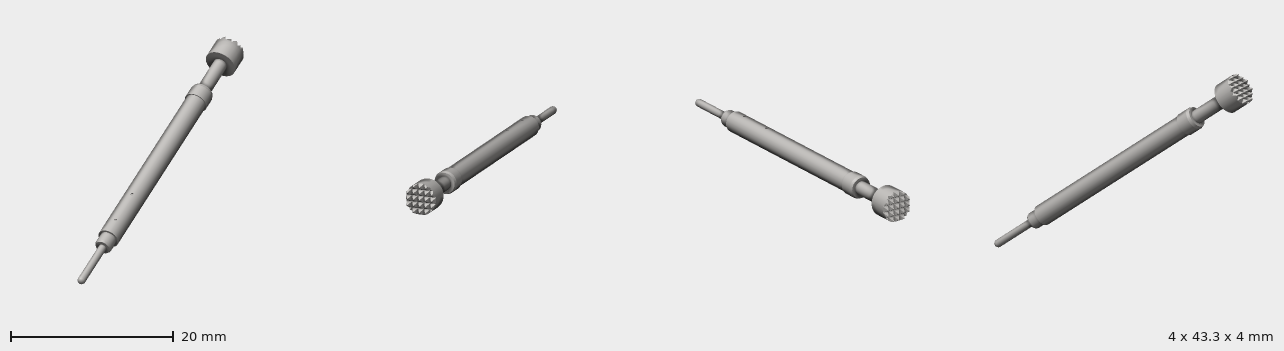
import cadquery as cq
import math

total_length = 43.3

neck_start = 6.5
body_start = 8.15
collar_start = 33.12
collar_end = 35.15
head_start = 40.23

pin_diameter = 1.0
neck_diameter = 2.15
body_diameter = 2.7
collar_diameter = 2.95
plunger_diameter = 1.78
head_diameter = 4.0

pin_tip_round = 0.48
neck_chamfer_length = 0.25
neck_chamfer_width = 0.15
collar_chamfer_length = 0.4
collar_chamfer_width = 0.15

teeth_per_row = 5
tooth_pitch = head_diameter / teeth_per_row
groove_angle = 60.0
tooth_height = tooth_pitch / 2 / math.tan(math.radians(groove_angle / 2))

dimple_positions = (10.2, 14.95)
dimple_diameter = 0.4
dimple_depth = 0.15


def cylinder(diameter, start, end):
    """Round bar along Y between two positions."""
    plane = cq.Workplane("XZ", origin=(0, end, 0))
    return plane.circle(diameter / 2).extrude(end - start)


def crown_groove(offset):
    """V groove along Z whose bottom lies at X = offset, open at the tooth tips."""
    return (
        cq.Workplane("XY", origin=(0, 0, -head_diameter))
        .moveTo(offset, total_length - tooth_height)
        .lineTo(offset + tooth_pitch / 2, total_length)
        .lineTo(offset - tooth_pitch / 2, total_length)
        .close()
        .extrude(2 * head_diameter)
    )


def make_head():
    """Head cut by two crossing sets of V grooves, leaving a grid of pyramids."""
    head = cylinder(head_diameter, head_start, total_length)
    for i in range(teeth_per_row + 1):
        groove = crown_groove((i - teeth_per_row / 2) * tooth_pitch)
        head = head.cut(groove)
        head = head.cut(groove.rotate((0, 0, 0), (0, 1, 0), 90))
    return head


def make_dimple(position):
    """Shallow round recess sunk from the top of the body."""
    bottom = body_diameter / 2 - dimple_depth
    plane = cq.Workplane("XY", origin=(0, position, bottom))
    return plane.circle(dimple_diameter / 2).extrude(2 * dimple_depth)


pin = cylinder(pin_diameter, 0, neck_start).faces("<Y").edges().fillet(pin_tip_round)
neck = (
    cylinder(neck_diameter, neck_start, body_start)
    .faces("<Y")
    .chamfer(neck_chamfer_length, neck_chamfer_width)
)
body = cylinder(body_diameter, body_start, collar_start)
for dimple_position in dimple_positions:
    body = body.cut(make_dimple(dimple_position))
collar = (
    cylinder(collar_diameter, collar_start, collar_end)
    .faces(">Y")
    .chamfer(collar_chamfer_length, collar_chamfer_width)
)
plunger = cylinder(plunger_diameter, collar_end, head_start)

result = pin.union(neck).union(body).union(collar).union(plunger).union(make_head())